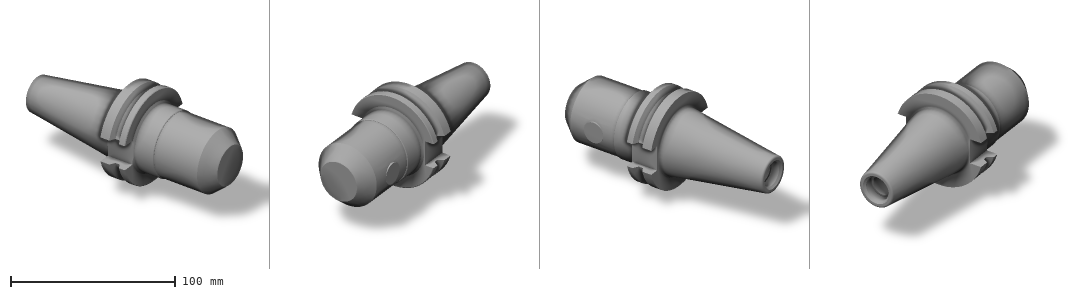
import cadquery as cq
import math

total_length = 144.78

gauge_diameter = 44.45
gauge_x = 68.58
taper_rate = 7 / 24
flange_back = 69.4
tail_diameter = gauge_diameter - flange_back * taper_rate
root_fillet = 1.3
tail_fillet = 1.3

flange_diameter = 63.5
flange_front = gauge_x + 19.05
flange_chamfer = 0.4
collar_diameter = 47.2
collar_front = 89.0
groove_center = gauge_x + 11.05
groove_floor_diameter = 56.36
groove_floor_width = 3.1
groove_half_angle = 30

slot_width = 17.15
slot_floor_front = 22.6
slot_floor_rear = 24.4

shoulder_diameter = gauge_diameter
shoulder_end = 103.1
nose_diameter = 43.18
nose_cone_start = 135.3
nose_tip_diameter = 27.8
shoulder_chamfer = 0.4
nose_tip_chamfer = 0.4

countersink_diameter = 19.05
pilot_diameter = 16.26
pilot_depth = 7.0
thread_bore_diameter = 13.39
thread_bore_depth = 30.0

screw_diameter = 14.35
screw_x = 118.2


def revolve_profile(points):
    """Solid of revolution about X from (x, radius) points, closed along the axis."""
    first_x = points[0][0]
    last_x = points[-1][0]
    outline = [(first_x, 0)] + points + [(last_x, 0)]
    return cq.Workplane("XY").polyline(outline).close().revolve(360, (0, 0, 0), (1, 0, 0))


def make_shank():
    shank = revolve_profile([(0, tail_diameter / 2), (flange_back, gauge_diameter / 2)])
    return shank.faces("<X").edges().fillet(tail_fillet)


def make_flange():
    rim = flange_diameter / 2
    collar = collar_diameter / 2
    groove_floor = groove_floor_diameter / 2
    floor_half = groove_floor_width / 2
    rim_half = floor_half + (rim - groove_floor) * math.tan(math.radians(groove_half_angle))
    return revolve_profile([
        (flange_back, rim),
        (groove_center - rim_half, rim),
        (groove_center - floor_half, groove_floor),
        (groove_center + floor_half, groove_floor),
        (groove_center + rim_half, rim),
        (flange_front - flange_chamfer, rim),
        (flange_front, rim - flange_chamfer),
        (flange_front, collar),
        (collar_front, shoulder_diameter / 2),
    ])


def make_nose():
    nose = nose_diameter / 2
    tip = nose_tip_diameter / 2
    return revolve_profile([
        (collar_front, shoulder_diameter / 2),
        (shoulder_end - shoulder_chamfer, shoulder_diameter / 2),
        (shoulder_end, shoulder_diameter / 2 - shoulder_chamfer),
        (shoulder_end, nose),
        (nose_cone_start, nose),
        (total_length - nose_tip_chamfer, tip),
        (total_length, tip - nose_tip_chamfer),
    ])


def make_drive_slot(side, floor):
    """Cutter for one drive slot; side is +1 for +Y and -1 for -Y."""
    start = flange_back - root_fillet
    length = collar_front - start
    depth = flange_diameter / 2
    slot = cq.Workplane("XY").box(length, depth, slot_width)
    return slot.translate((start + length / 2, side * (floor + depth / 2), 0))


def make_knob_bore():
    pilot = pilot_diameter / 2
    thread = thread_bore_diameter / 2
    countersink = countersink_diameter / 2
    return revolve_profile([
        (0, countersink),
        (countersink - pilot, pilot),
        (pilot_depth, pilot),
        (pilot_depth, thread),
        (thread_bore_depth, thread),
    ])


def make_clamping_screw():
    screw = cq.Workplane("XZ", origin=(screw_x, 0, 0)).circle(screw_diameter / 2)
    return screw.extrude(-nose_diameter / 2)


def fillet_taper_root(solid):
    """Round the corner where the taper meets the rear face of the flange."""
    reach = gauge_diameter / 2 + root_fillet
    margin = root_fillet / 2
    root = cq.selectors.BoxSelector(
        (flange_back - margin, -reach, -reach),
        (flange_back + margin, reach, reach),
        boundingbox=True,
    )
    return solid.edges(root).fillet(root_fillet)


body = fillet_taper_root(make_shank().union(make_flange())).union(make_nose())
body = body.cut(make_drive_slot(-1, slot_floor_front)).cut(make_drive_slot(1, slot_floor_rear))
body = body.union(make_clamping_screw())
result = body.cut(make_knob_bore())